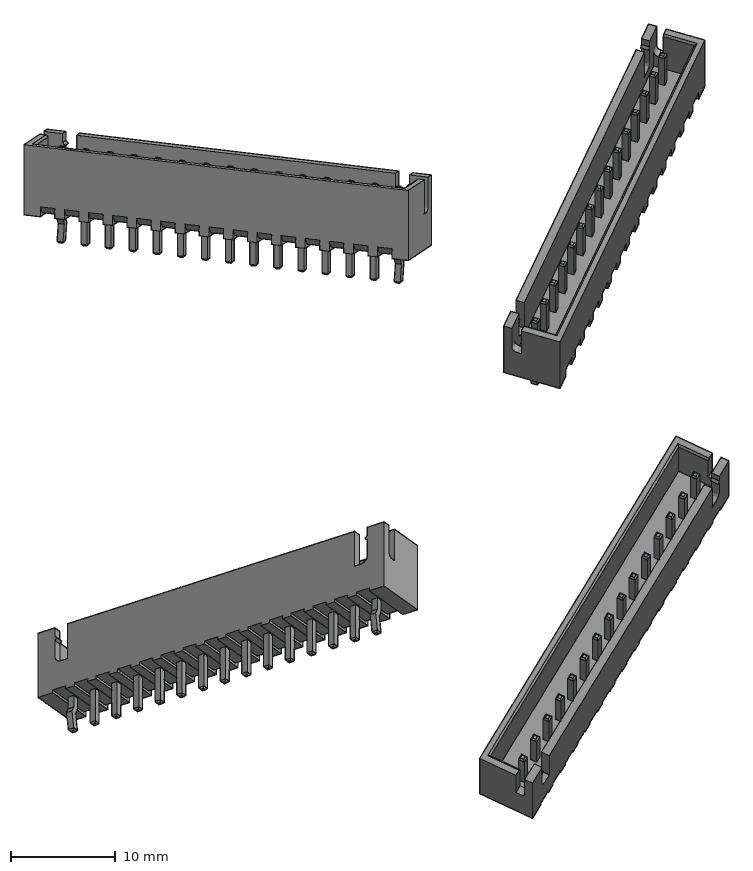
import cadquery as cq


PIN_COUNT = 15
PITCH = 2.5
PIN_WIDTH = 0.64
PIN_TIP_WIDTH = 0.34
PIN_TIP_LENGTH = 0.18
PIN_TOP_Z = 6.2
PIN_BOTTOM_Z = -3.4

KINK_OFFSET = 0.3
KINK_START_Z = -0.95
KINK_PEAK_Z = -1.52

END_MARGIN = 2.45
HOUSING_LENGTH = (PIN_COUNT - 1) * PITCH + 2 * END_MARGIN
HOUSING_DEPTH = 5.75
HOUSING_HEIGHT = 7.0
FRONT_Y = -3.4
BACK_Y = FRONT_Y + HOUSING_DEPTH
END_X = HOUSING_LENGTH / 2

FRONT_WALL = 0.75
BACK_WALL = 0.85
END_WALL = 0.85
CAVITY_X = END_X - END_WALL
CAVITY_FRONT = FRONT_Y + FRONT_WALL
CAVITY_BACK = BACK_Y - BACK_WALL
FLOOR_Z = 2.0
RIM_CHAMFER = 0.2

END_SLOT_BOTTOM_Z = 3.6
END_SLOT_WIDTH = 0.95
END_SLOT_FILLET = 0.5
BACK_SLOT_BOTTOM_Z = 3.2
BACK_SLOT_WIDTH = 1.45
BACK_SLOT_INSET = 1.95
BACK_SLOT_FILLET = 0.72
DETENT_HEIGHT = 0.25
DETENT_Z = 5.85

NOTCH_WIDTH = 1.5
NOTCH_FRONT_HEIGHT = 1.0
NOTCH_BACK_HEIGHT = 0.3
NOTCH_RAMP_DEPTH = 0.45

PIN_XS = [(i - (PIN_COUNT - 1) / 2) * PITCH for i in range(PIN_COUNT)]


def block(x_range, y_range, z_range):
    """Axis-aligned box spanning the given (low, high) ranges."""
    size = [high - low for low, high in (x_range, y_range, z_range)]
    low_corner = (x_range[0], y_range[0], z_range[0])
    return cq.Workplane("XY").box(*size, centered=False).translate(low_corner)


def make_shell():
    """Open-topped box with plain walls."""
    shell = block((-END_X, END_X), (FRONT_Y, BACK_Y), (0, HOUSING_HEIGHT))
    cavity = block((-CAVITY_X, CAVITY_X), (CAVITY_FRONT, CAVITY_BACK), (FLOOR_Z, HOUSING_HEIGHT))
    return shell.cut(cavity)


def make_rim_flare():
    """Tapered cutter that widens the cavity mouth on its front and end sides."""
    flare_z = HOUSING_HEIGHT - RIM_CHAMFER
    front_flare = (
        cq.Workplane("YZ", origin=(-CAVITY_X - RIM_CHAMFER, 0, 0))
        .moveTo(CAVITY_FRONT, flare_z)
        .lineTo(CAVITY_BACK, flare_z)
        .lineTo(CAVITY_BACK, HOUSING_HEIGHT)
        .lineTo(CAVITY_FRONT - RIM_CHAMFER, HOUSING_HEIGHT)
        .close()
        .extrude(2 * (CAVITY_X + RIM_CHAMFER))
    )
    end_flare = (
        cq.Workplane("XZ", origin=(0, CAVITY_BACK, 0))
        .moveTo(-CAVITY_X, flare_z)
        .lineTo(CAVITY_X, flare_z)
        .lineTo(CAVITY_X + RIM_CHAMFER, HOUSING_HEIGHT)
        .lineTo(-CAVITY_X - RIM_CHAMFER, HOUSING_HEIGHT)
        .close()
        .extrude(CAVITY_BACK - CAVITY_FRONT + RIM_CHAMFER)
    )
    return front_flare.intersect(end_flare)


def make_end_slots():
    """Slot beside the back wall through both ends, rounded at its back bottom corner."""
    slot = block(
        (-END_X, END_X),
        (CAVITY_BACK - END_SLOT_WIDTH, CAVITY_BACK),
        (END_SLOT_BOTTOM_Z, HOUSING_HEIGHT),
    )
    return slot.edges("|X and >Y and <Z").fillet(END_SLOT_FILLET)


def make_back_slot():
    """Slot through the back wall near its +X end, narrowed by a detent on the end tab."""
    tab_x = END_X - BACK_SLOT_INSET
    slot = block(
        (tab_x - BACK_SLOT_WIDTH, tab_x),
        (CAVITY_BACK, BACK_Y),
        (BACK_SLOT_BOTTOM_Z, HOUSING_HEIGHT),
    )
    slot = slot.edges("|Y and >X and <Z").fillet(BACK_SLOT_FILLET)
    detent = (
        cq.Workplane("XZ", origin=(0, BACK_Y, 0))
        .moveTo(tab_x, DETENT_Z + DETENT_HEIGHT)
        .lineTo(tab_x - DETENT_HEIGHT, DETENT_Z)
        .lineTo(tab_x, DETENT_Z - DETENT_HEIGHT)
        .close()
        .extrude(BACK_WALL)
    )
    return slot.cut(detent)


def make_notch(x):
    """Full-depth channel under a pin whose roof ramps up to the front face."""
    return (
        cq.Workplane("YZ", origin=(x - NOTCH_WIDTH / 2, 0, 0))
        .moveTo(FRONT_Y, 0)
        .lineTo(BACK_Y, 0)
        .lineTo(BACK_Y, NOTCH_BACK_HEIGHT)
        .lineTo(FRONT_Y + NOTCH_RAMP_DEPTH, NOTCH_BACK_HEIGHT)
        .lineTo(FRONT_Y, NOTCH_FRONT_HEIGHT)
        .close()
        .extrude(NOTCH_WIDTH)
    )


def make_tip(x, base_z, direction):
    """Truncated-pyramid pin end pointing up (direction 1) or down (direction -1)."""
    return (
        cq.Workplane("XY", origin=(x, 0, base_z))
        .rect(PIN_WIDTH, PIN_WIDTH)
        .workplane(offset=direction * PIN_TIP_LENGTH)
        .rect(PIN_TIP_WIDTH, PIN_TIP_WIDTH)
        .loft()
    )


def make_pin(x, kinked):
    """Square pin with tapered ends; a kinked pin bows towards +Y below the housing."""
    half = PIN_WIDTH / 2
    upper_z = PIN_TOP_Z - PIN_TIP_LENGTH
    lower_z = PIN_BOTTOM_Z + PIN_TIP_LENGTH
    front_edge = [(-half, upper_z), (-half, lower_z)]
    back_edge = [(half, lower_z), (half, upper_z)]
    if kinked:
        front_edge[1:1] = [(-half, KINK_START_Z), (-half + KINK_OFFSET, KINK_PEAK_Z)]
        back_edge[1:1] = [(half + KINK_OFFSET, KINK_PEAK_Z), (half, KINK_START_Z)]
    shank = (
        cq.Workplane("YZ", origin=(x - half, 0, 0))
        .polyline(front_edge + back_edge)
        .close()
        .extrude(PIN_WIDTH)
    )
    return shank.union(make_tip(x, upper_z, 1)).union(make_tip(x, lower_z, -1))


def make_housing():
    """Shell with its rim flare, slots and notches."""
    back_slot = make_back_slot()
    housing = make_shell().cut(make_rim_flare()).cut(make_end_slots())
    housing = housing.cut(back_slot).cut(back_slot.mirror("YZ"))
    for x in PIN_XS:
        housing = housing.cut(make_notch(x))
    return housing


result = make_housing()
for pin_x in PIN_XS:
    result = result.union(make_pin(pin_x, pin_x in (PIN_XS[0], PIN_XS[-1])))